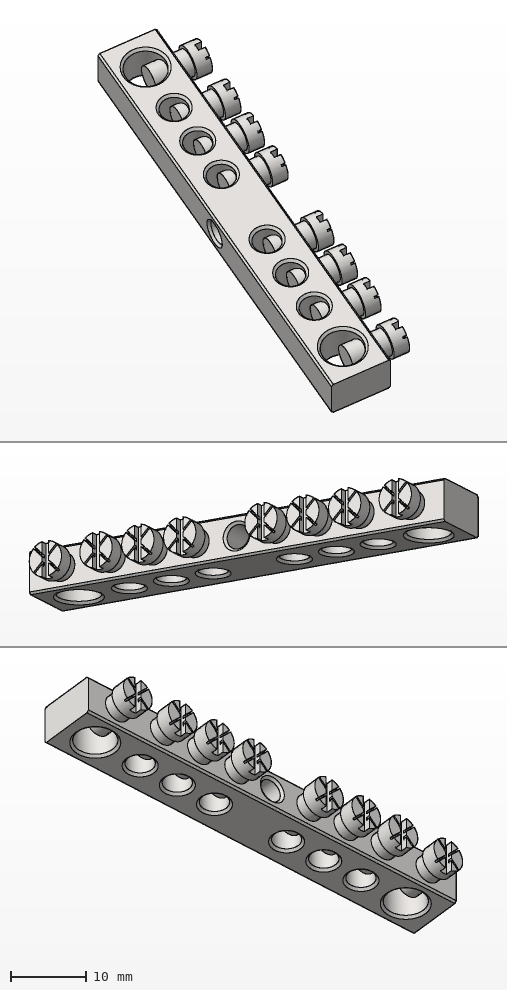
import cadquery as cq


BAR_LENGTH = 64.0
BAR_DEPTH = 9.0
BAR_HEIGHT = 6.0
EDGE_CHAMFER = 0.3
SCREW_FACE_Y = BAR_DEPTH / 2

SMALL_HOLE_DIAMETER = 4.0
LARGE_HOLE_DIAMETER = 6.0
HOLE_CHAMFER = 0.4
INNER_HOLE_X = 6.3
SMALL_HOLE_PITCH = 6.45
SMALL_HOLES_PER_SIDE = 3
LARGE_HOLE_X = 27.0

MOUNT_HOLE_DIAMETER = 3.4

SHANK_DIAMETER = 4.0
SHANK_EXPOSED = 1.9
SHANK_INSERTION = 4.0
SHANK_LENGTH = SHANK_EXPOSED + SHANK_INSERTION
HEAD_DIAMETER = 5.0
HEAD_HEIGHT = 2.4
SLOT_WIDTH = 1.0
SLOT_DEPTH = 1.0
NOTCH_WIDTH = 0.25
NOTCH_DEPTH = 0.6
NOTCH_ANGLES = (45, -45)

small_side_x = [INNER_HOLE_X + i * SMALL_HOLE_PITCH for i in range(SMALL_HOLES_PER_SIDE)]
small_hole_x = [side * x for side in (-1, 1) for x in small_side_x]
large_hole_x = [-LARGE_HOLE_X, LARGE_HOLE_X]
screw_x = sorted(small_hole_x + large_hole_x)


def chamfered_hole_cutter(diameter, length):
    """Cutter along Z, centred on the origin, for a through hole chamfered at both ends."""
    radius = diameter / 2
    mouth_radius = radius + HOLE_CHAMFER
    half_length = length / 2
    return (
        cq.Workplane("XZ")
        .moveTo(0, -half_length)
        .lineTo(mouth_radius, -half_length)
        .lineTo(radius, -half_length + HOLE_CHAMFER)
        .lineTo(radius, half_length - HOLE_CHAMFER)
        .lineTo(mouth_radius, half_length)
        .lineTo(0, half_length)
        .close()
        .revolve(360, (0, 0, 0), (0, 1, 0))
    )


def cylinder_from_screw_face(x, diameter, length):
    """Cylinder running from the screw face into the bar, along -Y."""
    return (
        cq.Workplane("XZ", origin=(x, SCREW_FACE_Y, 0))
        .circle(diameter / 2)
        .extrude(length)
    )


def make_bar():
    """Bar with chamfered long edges, wire holes, mounting hole and screw bores."""
    bar = (
        cq.Workplane("XY")
        .box(BAR_LENGTH, BAR_DEPTH, BAR_HEIGHT)
        .edges("|X")
        .chamfer(EDGE_CHAMFER)
    )

    small_hole = chamfered_hole_cutter(SMALL_HOLE_DIAMETER, BAR_HEIGHT)
    for x in small_hole_x:
        bar = bar.cut(small_hole.translate((x, 0, 0)))

    large_hole = chamfered_hole_cutter(LARGE_HOLE_DIAMETER, BAR_HEIGHT)
    for x in large_hole_x:
        bar = bar.cut(large_hole.translate((x, 0, 0)))

    mount_hole = chamfered_hole_cutter(MOUNT_HOLE_DIAMETER, BAR_DEPTH)
    bar = bar.cut(mount_hole.rotate((0, 0, 0), (1, 0, 0), 90))

    for x in screw_x:
        bar = bar.cut(cylinder_from_screw_face(x, SHANK_DIAMETER, SHANK_INSERTION))
    return bar


def head_groove_cutter(width, depth):
    """Groove cutter across the full head, along Y, centred on the head top at Z = 0."""
    return cq.Workplane("XY").box(width, 2 * HEAD_DIAMETER, 2 * depth)


def make_screw(x):
    """Slotted cheese-head screw, its tip inside the bar and its head beyond the +Y face."""
    shank = cq.Workplane("XY").circle(SHANK_DIAMETER / 2).extrude(-HEAD_HEIGHT - SHANK_LENGTH)
    head = cq.Workplane("XY").circle(HEAD_DIAMETER / 2).extrude(-HEAD_HEIGHT)
    screw = head.union(shank)

    screw = screw.cut(head_groove_cutter(SLOT_WIDTH, SLOT_DEPTH))
    for angle in NOTCH_ANGLES:
        notch = head_groove_cutter(NOTCH_WIDTH, NOTCH_DEPTH)
        screw = screw.cut(notch.rotate((0, 0, 0), (0, 0, 1), angle))

    head_top_y = SCREW_FACE_Y + SHANK_EXPOSED + HEAD_HEIGHT
    return screw.rotate((0, 0, 0), (1, 0, 0), -90).translate((x, head_top_y, 0))


bar = make_bar()
screws = [make_screw(x) for x in screw_x]

result = cq.Compound.makeCompound([bar.solids().val(), *[screw.solids().val() for screw in screws]])